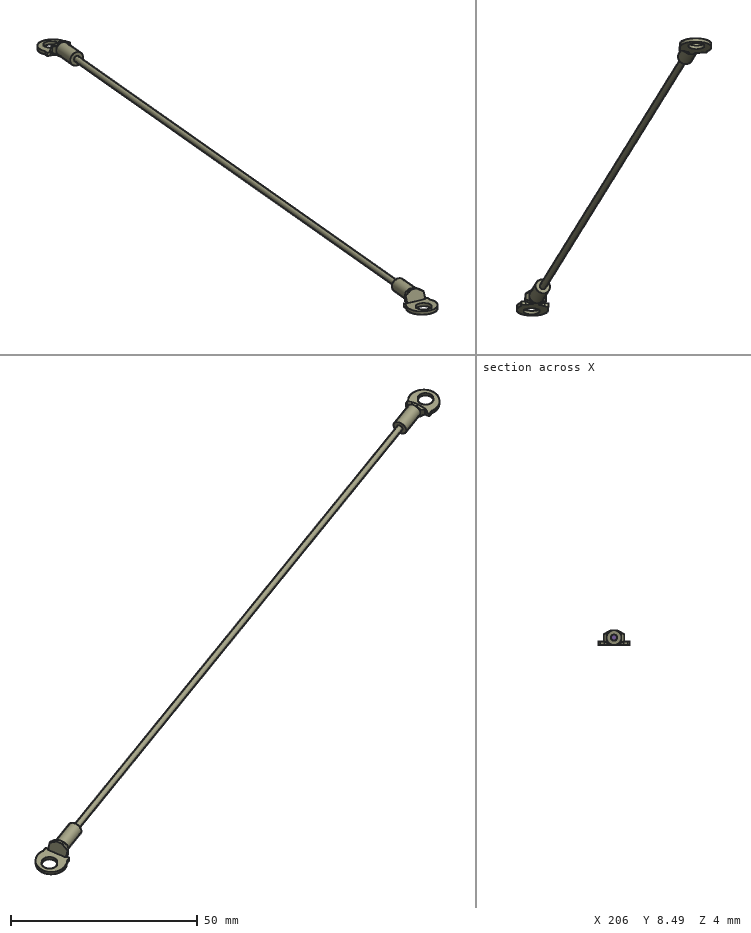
import cadquery as cq

total_length = 205.97
tip_x = -total_length / 2

tongue_width = 8.49
tongue_radius = tongue_width / 2
tongue_thickness = 1.0
tongue_end = 7.6
tongue_end_width = 7.4
eye_diameter = 4.3
eye_centre = 3.3

neck_start = 7.2
neck_slope_run = 1.4
neck_end = 9.4
neck_width = 5.6
neck_flat_width = 1.6
neck_chamfer_height = 1.1

barrel_diameter = 4.0
barrel_radius = barrel_diameter / 2
barrel_end = 16.9

wire_diameter = 1.7
wire_length = total_length - 2 * neck_end


def make_tongue():
    eye_end = (
        cq.Workplane("XY")
        .center(tip_x + tongue_radius, 0)
        .circle(tongue_radius)
        .extrude(tongue_thickness)
    )
    tail_length = tongue_end - tongue_radius
    tail = (
        cq.Workplane("XY")
        .center(tip_x + tongue_radius + tail_length / 2, 0)
        .rect(tail_length, tongue_end_width)
        .extrude(tongue_thickness)
    )
    eye = (
        cq.Workplane("XY")
        .center(tip_x + eye_centre, 0)
        .circle(eye_diameter / 2)
        .extrude(tongue_thickness)
    )
    return eye_end.union(tail).cut(eye)


def make_neck():
    half_width = neck_width / 2
    half_flat = neck_flat_width / 2
    upper_corner = barrel_diameter - neck_chamfer_height
    block = (
        cq.Workplane("YZ", origin=(tip_x + neck_start, 0, 0))
        .polyline([
            (-half_flat, 0),
            (half_flat, 0),
            (half_width, neck_chamfer_height),
            (half_width, upper_corner),
            (half_flat, barrel_diameter),
            (-half_flat, barrel_diameter),
            (-half_width, upper_corner),
            (-half_width, neck_chamfer_height),
        ])
        .close()
        .extrude(neck_end - neck_start)
    )
    front_waste = (
        cq.Workplane("XZ", origin=(tip_x + neck_start, 0, 0))
        .polyline([
            (0, tongue_thickness),
            (neck_slope_run, barrel_diameter),
            (0, barrel_diameter),
        ])
        .close()
        .extrude(half_width, both=True)
    )
    taper_start = neck_start + neck_slope_run
    plan = (
        cq.Workplane("XY", origin=(tip_x, 0, 0))
        .polyline([
            (neck_start, -half_width),
            (taper_start, -half_width),
            (neck_end, -barrel_radius),
            (neck_end, barrel_radius),
            (taper_start, half_width),
            (neck_start, half_width),
        ])
        .close()
        .extrude(barrel_diameter)
    )
    return block.intersect(plan).cut(front_waste)


def make_barrel():
    return (
        cq.Workplane("YZ", origin=(tip_x + neck_end, 0, 0))
        .center(0, barrel_radius)
        .circle(barrel_radius)
        .extrude(barrel_end - neck_end)
    )


def make_wire():
    return (
        cq.Workplane("YZ")
        .center(0, barrel_radius)
        .circle(wire_diameter / 2)
        .extrude(wire_length / 2, both=True)
    )


def make_lug():
    """The lug at the -X end, with the wire's bore in its barrel."""
    return make_tongue().union(make_neck()).union(make_barrel()).cut(make_wire())


wire = make_wire()
left_lug = make_lug()
lugs = [left_lug, left_lug.mirror("YZ")]

result = cq.Compound.makeCompound([wire.val(), *[lug.val() for lug in lugs]])